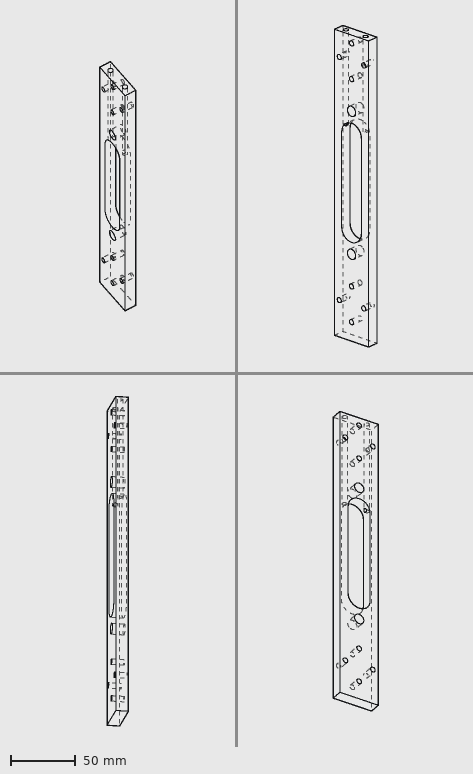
import cadquery as cq
import math

WIDTH = 35.0
THICKNESS = 10.0
LENGTH = 257.0

PATTERN_Z = 133.0
SLOT_LENGTH = 100.0
SLOT_WIDTH = 20.0
LARGE_HOLE_DIAMETER = 8.4
LARGE_HOLE_SPACING = 120.0
SMALL_HOLE_DIAMETER = 4.2
DIAMOND_SPACING = 204.0
DIAMOND_HALF_WIDTH = 12.5
DIAMOND_HALF_HEIGHT = 15.0

END_HOLE_DIAMETER = 4.2
END_HOLE_SPACING = 20.0
END_HOLE_DEPTH = 79.5
DRILL_POINT_ANGLE = 118.0


def make_plate():
    """Plate centred on X and Y, standing on Z = 0."""
    return cq.Workplane("XY").box(WIDTH, THICKNESS, LENGTH, centered=(True, True, False))


def front_plane():
    """Sketch plane on the front face, centred on the hole pattern; cuts run along +Y."""
    return cq.Workplane("XZ", origin=(0, -THICKNESS / 2, PATTERN_Z))


def through_holes(points, diameter):
    return front_plane().pushPoints(points).circle(diameter / 2).extrude(-THICKNESS)


def slot():
    return front_plane().slot2D(SLOT_LENGTH, SLOT_WIDTH, angle=90).extrude(-THICKNESS)


def large_holes():
    offset = LARGE_HOLE_SPACING / 2
    return through_holes([(0, -offset), (0, offset)], LARGE_HOLE_DIAMETER)


def diamond_holes(centre_z):
    """Four small holes at the corners of a diamond."""
    points = [
        (-DIAMOND_HALF_WIDTH, centre_z),
        (DIAMOND_HALF_WIDTH, centre_z),
        (0, centre_z - DIAMOND_HALF_HEIGHT),
        (0, centre_z + DIAMOND_HALF_HEIGHT),
    ]
    return through_holes(points, SMALL_HOLE_DIAMETER)


def end_holes():
    """Drilled holes with conical bottoms that run down from the top end and break into the slot."""
    radius = END_HOLE_DIAMETER / 2
    point_length = radius / math.tan(math.radians(DRILL_POINT_ANGLE / 2))
    shoulder_z = LENGTH - END_HOLE_DEPTH
    drill = (
        cq.Workplane("XZ")
        .moveTo(0, LENGTH)
        .lineTo(radius, LENGTH)
        .lineTo(radius, shoulder_z)
        .lineTo(0, shoulder_z - point_length)
        .close()
        .revolve(360, (0, 0, 0), (0, 1, 0))
    )
    offset = END_HOLE_SPACING / 2
    return drill.translate((-offset, 0, 0)).union(drill.translate((offset, 0, 0)))


result = make_plate().cut(slot()).cut(large_holes()).cut(end_holes())
for side in (-1, 1):
    result = result.cut(diamond_holes(side * DIAMOND_SPACING / 2))